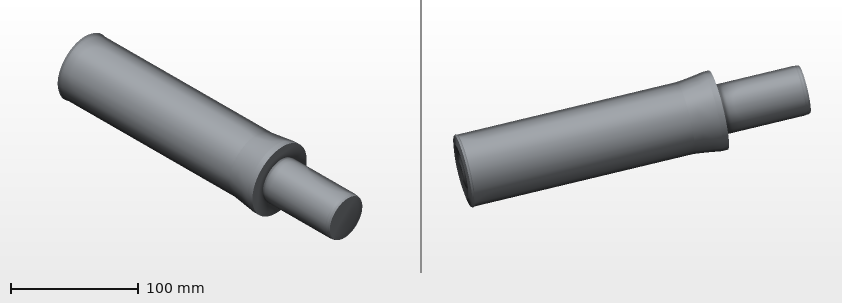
import cadquery as cq


housing_length = 209.0
tube_radius = 58.0 / 2
collar_radius = 64.0 / 2
collar_width = 5.0
flare_length = 22.0

bead_radius = 29.6
bead_start = 2.6
bead_end = 3.4
rim_radius = 28.7
rim_setback = 1.3

crest_radius = 21.7
valley_radius = 14.0
valley_depth = 1.4
valley_width = 0.4
inner_crest_radius = 7.3
inner_crest_depth = 0.0
centre_depth = 0.9
centre_flat_radius = 0.4

total_length = 279.0
rod_radius = 40.0 / 2
neck_radius = 39.5 / 2
base_neck_length = 0.9
tip_neck_length = 4.0
step_length = 1.3
tip_chamfer_length = 1.6
tip_chamfer_depth = 0.6


def turned(outline):
    """Revolve a closed (x, radius) outline about the X axis."""
    return cq.Workplane("XZ").polyline(outline).close().revolve(360, (0, 0, 0), (1, 0, 0))


def make_housing():
    """Closed tube with a rippled end, a bead, and a flare up to the collar."""
    collar_start = housing_length - collar_width
    flare_start = collar_start - flare_length
    return turned([
        (centre_depth, 0),
        (centre_depth, centre_flat_radius),
        (inner_crest_depth, inner_crest_radius),
        (valley_depth, valley_radius - valley_width),
        (valley_depth, valley_radius),
        (0, crest_radius),
        (rim_setback, rim_radius),
        (bead_start, bead_radius),
        (bead_end, tube_radius),
        (flare_start, tube_radius),
        (collar_start, collar_radius),
        (housing_length, collar_radius),
        (housing_length, 0),
    ])


def make_rod():
    """Rod standing on the collar face, with a slightly thinner neck at each end."""
    base_neck_end = housing_length + base_neck_length
    tip_neck_start = total_length - tip_neck_length
    return turned([
        (housing_length, 0),
        (housing_length, neck_radius),
        (base_neck_end, neck_radius),
        (base_neck_end + step_length, rod_radius),
        (tip_neck_start, rod_radius),
        (tip_neck_start + step_length, neck_radius),
        (total_length - tip_chamfer_length, neck_radius),
        (total_length, neck_radius - tip_chamfer_depth),
        (total_length, 0),
    ])


housing = make_housing()
rod = make_rod()

result = cq.Compound.makeCompound([housing.val(), rod.val()])